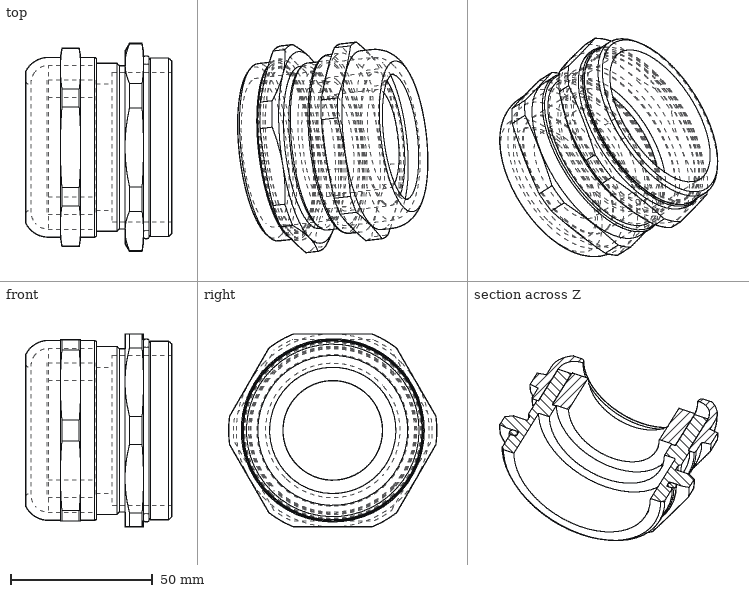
import cadquery as cq
import math


cap_diameter = 63.5
cap_length = 25.0
cap_face_diameter = 53.5
cap_crown_radius = 9.0
cap_end_chamfer_length = 0.7
cap_end_chamfer_depth = 0.4
cap_entry_diameter = 44.4
cap_entry_round = 1.5
cap_hex_start = 12.25
cap_hex_end = 19.4
cap_hex_flats = 64.0
cap_hex_corners = 70.0

crown_centre_radius = cap_diameter / 2 - cap_crown_radius
crown_length = math.sqrt(cap_crown_radius**2 - (cap_face_diameter / 2 - crown_centre_radius) ** 2)

body_end = 51.5
neck_diameter = 59.3
neck_end = 33.0
relief_diameter = 57.6
body_hex_start = 35.0
body_hex_end = 41.5
body_hex_flats = 68.0
body_hex_corners = 73.46
thread_diameter = 63.0
thread_start = 44.0
thread_tip_diameter = 60.8
cap_thread_diameter = 57.78
body_bore = 44.5
body_bore_end = 30.4
thread_bore = 52.8

seal_diameter = 47.4
seal_bore = 35.0
seal_front = 7.6
seal_end = 24.4

ring_inner_diameter = 58.54
ring_section_radius = 1.5
groove_width = 2.0

hex_sides = 6
hex_turn_angle = 180.0 / hex_sides
shallow_chamfer_angle = 10.0
steep_chamfer_angle = 30.0


def revolve_about_x(outline):
    """Turn a closed outline drawn as X against radius around the X axis."""
    return outline.close().revolve(360, (0, 0, 0), (1, 0, 0))


def cylinder(start, end, diameter):
    """Solid cylinder on the X axis."""
    return cq.Workplane("YZ").workplane(offset=start).circle(diameter / 2).extrude(end - start)


def chamfered_hexagon(start, end, flats, corners, front_angle, back_angle):
    """Hexagon with flats at +Z and -Z, turned to the corner diameter and cone-chamfered at both ends."""
    prism = (
        cq.Workplane("YZ")
        .workplane(offset=start)
        .transformed(rotate=(0, 0, hex_turn_angle))
        .polygon(hex_sides, flats, circumscribed=True)
        .extrude(end - start)
    )
    flat_radius = flats / 2
    corner_radius = corners / 2
    corner_height = corner_radius - flat_radius
    front_chamfer = corner_height * math.tan(math.radians(front_angle))
    back_chamfer = corner_height * math.tan(math.radians(back_angle))
    envelope = revolve_about_x(
        cq.Workplane("XY")
        .moveTo(start, 0)
        .lineTo(start, flat_radius)
        .lineTo(start + front_chamfer, corner_radius)
        .lineTo(end - back_chamfer, corner_radius)
        .lineTo(end, flat_radius)
        .lineTo(end, 0)
    )
    return prism.intersect(envelope)


def crown_point(radius, angle):
    """Point at the given radius and angle about the centre of the crown arc."""
    return (
        crown_length + radius * math.cos(angle),
        crown_centre_radius + radius * math.sin(angle),
    )


def make_cap():
    """Domed nut with a rounded entry, a hexagon and a cavity that fits over the body."""
    cap_radius = cap_diameter / 2
    face_radius = cap_face_diameter / 2
    entry_radius = cap_entry_diameter / 2
    cavity_radius = cap_thread_diameter / 2

    cavity_round = cavity_radius - crown_centre_radius
    cavity_front = crown_length - cavity_round

    crown_start_angle = math.atan2(face_radius - crown_centre_radius, -crown_length)
    crown_mid = crown_point(cap_crown_radius, (crown_start_angle + math.pi / 2) / 2)
    cavity_mid = crown_point(cavity_round, 3 * math.pi / 4)
    entry_mid_offset = cap_entry_round * (1 - math.sqrt(0.5))

    shell = revolve_about_x(
        cq.Workplane("XY")
        .moveTo(0, face_radius)
        .threePointArc(crown_mid, (crown_length, cap_radius))
        .lineTo(cap_length - cap_end_chamfer_length, cap_radius)
        .lineTo(cap_length, cap_radius - cap_end_chamfer_depth)
        .lineTo(cap_length, cavity_radius)
        .lineTo(crown_length, cavity_radius)
        .threePointArc(cavity_mid, (cavity_front, crown_centre_radius))
        .lineTo(cavity_front, entry_radius)
        .lineTo(cap_entry_round, entry_radius)
        .threePointArc(
            (entry_mid_offset, entry_radius + entry_mid_offset),
            (0, entry_radius + cap_entry_round),
        )
    )
    hexagon = chamfered_hexagon(
        cap_hex_start, cap_hex_end, cap_hex_flats, cap_hex_corners,
        shallow_chamfer_angle, shallow_chamfer_angle,
    )
    hexagon = hexagon.cut(cylinder(cap_hex_start, cap_hex_end, cap_thread_diameter))
    return shell.union(hexagon)


def make_body():
    """Turned tube with a seal seat, a hexagon, an O-ring groove and a threaded end."""
    neck_chamfer = (neck_diameter - relief_diameter) / 2
    tip_chamfer = (thread_diameter - thread_tip_diameter) / 2
    groove_end = body_hex_end + groove_width
    lead_chamfer = thread_start - groove_end

    turned = revolve_about_x(
        cq.Workplane("XY")
        .moveTo(crown_length, seal_diameter / 2)
        .lineTo(crown_length, cap_thread_diameter / 2)
        .lineTo(cap_length, cap_thread_diameter / 2)
        .lineTo(cap_length, neck_diameter / 2)
        .lineTo(neck_end - neck_chamfer, neck_diameter / 2)
        .lineTo(neck_end, relief_diameter / 2)
        .lineTo(body_hex_end, relief_diameter / 2)
        .lineTo(body_hex_end, ring_inner_diameter / 2)
        .lineTo(groove_end, ring_inner_diameter / 2)
        .lineTo(groove_end, thread_diameter / 2 - lead_chamfer)
        .lineTo(thread_start, thread_diameter / 2)
        .lineTo(body_end - tip_chamfer, thread_diameter / 2)
        .lineTo(body_end, thread_tip_diameter / 2)
        .lineTo(body_end, thread_bore / 2)
        .lineTo(body_bore_end, thread_bore / 2)
        .lineTo(body_bore_end, body_bore / 2)
        .lineTo(seal_end, body_bore / 2)
        .lineTo(seal_end, seal_diameter / 2)
    )
    hexagon = chamfered_hexagon(
        body_hex_start, body_hex_end, body_hex_flats, body_hex_corners,
        steep_chamfer_angle, shallow_chamfer_angle,
    )
    hexagon = hexagon.cut(cylinder(body_hex_start, body_hex_end, relief_diameter))
    return turned.union(hexagon)


def make_seal():
    """Plain sleeve that rests on the shoulder inside the body."""
    return cylinder(seal_front, seal_end, seal_diameter).cut(cylinder(seal_front, seal_end, seal_bore))


def make_ring():
    """O-ring squeezed between the groove walls, so its round section has flat sides."""
    half_width = groove_width / 2
    groove_centre = body_hex_end + half_width
    section_centre_radius = ring_inner_diameter / 2 + ring_section_radius
    side_height = math.sqrt(ring_section_radius**2 - half_width**2)
    return revolve_about_x(
        cq.Workplane("XY")
        .moveTo(groove_centre - half_width, section_centre_radius - side_height)
        .lineTo(groove_centre - half_width, section_centre_radius + side_height)
        .threePointArc(
            (groove_centre, section_centre_radius + ring_section_radius),
            (groove_centre + half_width, section_centre_radius + side_height),
        )
        .lineTo(groove_centre + half_width, section_centre_radius - side_height)
        .threePointArc(
            (groove_centre, section_centre_radius - ring_section_radius),
            (groove_centre - half_width, section_centre_radius - side_height),
        )
    )


cap = make_cap()
body = make_body()
seal = make_seal()
ring = make_ring()

result = cq.Compound.makeCompound([cap.val(), body.val(), seal.val(), ring.val()])